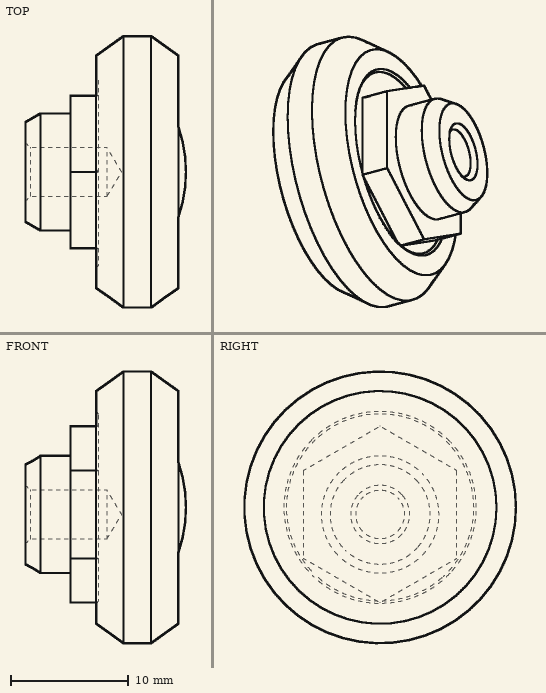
import cadquery as cq
import math

wheel_diameter = 23.15
wheel_side_diameter = 19.8
wheel_width = 7.0
rim_width = 2.35
rim_bevel_width = (wheel_width - rim_width) / 2

recess_diameter = 16.35
recess_depth = 0.2

dome_diameter = 7.68
dome_height = 0.65

hub_offset = -0.6
stub_diameter = 10.0
stub_length = 3.82
stub_bevel_length = 1.3
stub_bevel_angle = 30.0
hex_thickness = 2.2
hex_across_flats = 13.0

hole_diameter = 4.15
countersink_diameter = 5.0
hole_depth = 6.95
drill_point_angle = 118.0

wheel_start = stub_length + hex_thickness
wheel_end = wheel_start + wheel_width


def revolve_about_x(profile):
    """Turn a closed XY profile once around the X axis."""
    return profile.close().revolve(360, (0, 0, 0), (1, 0, 0))


def make_wheel():
    recess_radius = recess_diameter / 2
    profile = (
        cq.Workplane("XY")
        .moveTo(wheel_start + recess_depth, 0)
        .lineTo(wheel_start + recess_depth, recess_radius - recess_depth)
        .lineTo(wheel_start, recess_radius)
        .lineTo(wheel_start, wheel_side_diameter / 2)
        .lineTo(wheel_start + rim_bevel_width, wheel_diameter / 2)
        .lineTo(wheel_end - rim_bevel_width, wheel_diameter / 2)
        .lineTo(wheel_end, wheel_side_diameter / 2)
        .lineTo(wheel_end, dome_diameter / 2)
    )
    dome_radius = ((dome_diameter / 2) ** 2 + dome_height**2) / (2 * dome_height)
    half_angle = math.asin(dome_diameter / 2 / dome_radius) / 2
    dome_center = wheel_end + dome_height - dome_radius
    arc_middle = (
        dome_center + dome_radius * math.cos(half_angle),
        dome_radius * math.sin(half_angle),
    )
    return revolve_about_x(profile.threePointArc(arc_middle, (wheel_end + dome_height, 0)))


def make_stub():
    stub_radius = stub_diameter / 2
    bevel_height = stub_bevel_length * math.tan(math.radians(stub_bevel_angle))
    profile = (
        cq.Workplane("XY")
        .lineTo(0, stub_radius - bevel_height)
        .lineTo(stub_bevel_length, stub_radius)
        .lineTo(stub_length, stub_radius)
        .lineTo(stub_length, 0)
    )
    return revolve_about_x(profile)


def make_hexagon():
    """Hexagon with corners up and down, seated on the recess floor."""
    corner_diameter = hex_across_flats / math.cos(math.radians(30))
    return (
        cq.Workplane("YZ", origin=(stub_length, 0, 0))
        .transformed(rotate=(0, 0, 90))
        .polygon(6, corner_diameter)
        .extrude(hex_thickness + recess_depth)
    )


def make_hole():
    hole_radius = hole_diameter / 2
    countersink_depth = (countersink_diameter - hole_diameter) / 2
    point_length = hole_radius / math.tan(math.radians(drill_point_angle / 2))
    profile = (
        cq.Workplane("XY")
        .lineTo(0, countersink_diameter / 2)
        .lineTo(countersink_depth, hole_radius)
        .lineTo(hole_depth, hole_radius)
        .lineTo(hole_depth + point_length, 0)
    )
    return revolve_about_x(profile)


hub = make_stub().union(make_hexagon()).translate((0, 0, hub_offset))
hole = make_hole().translate((0, 0, hub_offset))
result = make_wheel().union(hub).cut(hole)